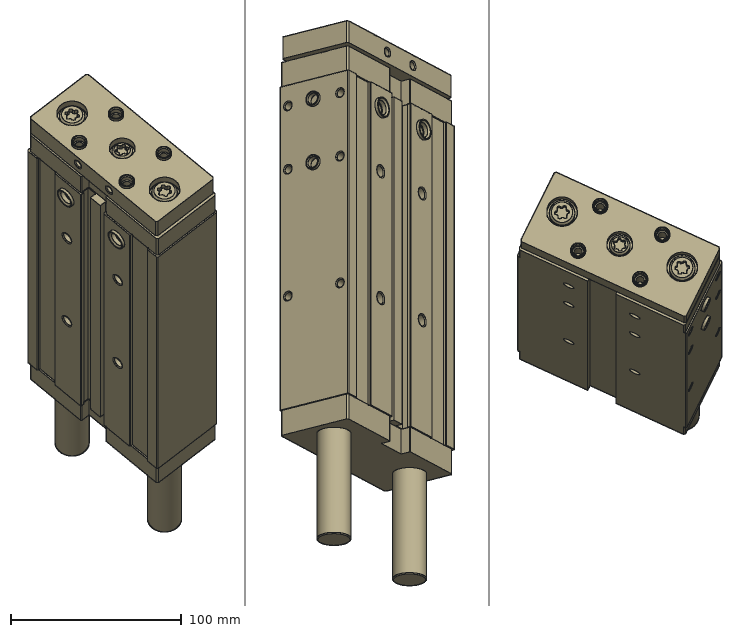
import cadquery as cq
import math


BODY_WIDTH = 110.0
BODY_THICKNESS = 49.0
BODY_BOTTOM = 82.5
BODY_TOP = 286.2
CAP_HEIGHT = 15.7
CAP_INSET = 1.0
BODY_CORNER_CHAMFER = 0.5
CORNER_CHAMFER = 1.0
HOUSING_BOTTOM = BODY_BOTTOM - CAP_HEIGHT
HOUSING_TOP = BODY_TOP + CAP_HEIGHT
LEFT_FACE = -BODY_WIDTH / 2
FRONT_FACE = -BODY_THICKNESS / 2
BACK_FACE = BODY_THICKNESS / 2

FRONT_SLOT_WIDTH = 19.0
CAP_SLOT_WIDTH = 20.5
BACK_SLOT_WIDTH = 18.2
FRONT_SLOT_DEPTH = 6.7
CAP_SLOT_DEPTH = 7.5
GROOVE_MOUTH_CHAMFER = 0.48
BACK_SLOT_DEPTH = 3.2
SLOT_LIP_THICKNESS = 2.2
UNDERCUT_WIDTH = 21.0
RAIL_WIDTH = 8.3
RAIL_HEIGHT = 4.0
SIDE_GROOVE_WIDTH = 14.0
SIDE_GROOVE_X = 39.0
SIDE_GROOVE_DEPTH = 2.0

GUIDE_ROD_DIAMETER = 20.0
GUIDE_ROD_X = 39.0
GUIDE_ROD_Y = -3.2
GUIDE_ROD_CHAMFER = 0.5
PISTON_ROD_DIAMETER = 12.0

SLEEVE_LENGTH = 3.8
SLEEVE_PROTRUSION = 2.0
SMALL_SLEEVE_DIAMETER = 9.0
SMALL_SLEEVE_MOUTH = 8.0
SMALL_SLEEVE_BORE = 6.7
LARGE_SLEEVE_DIAMETER = 12.0
LARGE_SLEEVE_MOUTH = 11.0
LARGE_SLEEVE_BORE = 8.5
PLATE_SLEEVE_X = 20.0
PLATE_SLEEVE_SPACING_Y = 30.0
PLATE_SLEEVE_OFFSET_Y = -0.5

TOTAL_HEIGHT = 319.8
PLATE_TOP = TOTAL_HEIGHT - SLEEVE_PROTRUSION
PLATE_GAP = 2.2
PLATE_BOTTOM = HOUSING_TOP + PLATE_GAP
PLATE_HEIGHT = PLATE_TOP - PLATE_BOTTOM
PLATE_WIDTH = 107.5
PLATE_OFFSET_X = -0.3
PLATE_FACE_INSET = 1.0
PLATE_THICKNESS = BODY_THICKNESS - 2 * PLATE_FACE_INSET
PLATE_FRONT = -PLATE_THICKNESS / 2

HEAD_DROP = 1.3
HEAD_CHAMFER = 1.3
HEAD_POCKET_DEPTH = 4.8
SOCKET_DEPTH = 3.2
SOCKET_LOBES = 6
LOBE_TO_SOCKET = 0.25
CORE_TO_SOCKET = 0.75
GUIDE_POCKET_DIAMETER = 18.0
GUIDE_HEAD_DIAMETER = 15.0
GUIDE_SOCKET_DIAMETER = 8.5
GUIDE_SOCKET_TURN = 30.0
PISTON_POCKET_DIAMETER = 15.0
PISTON_HEAD_DIAMETER = 12.0
PISTON_SOCKET_DIAMETER = 8.0
PISTON_SOCKET_TURN = 0.0

SMALL_HOLE_DIAMETER = 4.8
SMALL_HOLE_MOUTH = 6.0
SMALL_HOLE_DEPTH = 8.0
DRILL_POINT_ANGLE = 118.0
THROUGH_HOLE_DIAMETER = 6.7
THROUGH_HOLE_MOUTH = 8.0
MOUNT_ROW_HEIGHTS = [273.0, 233.0, 153.2]
THROUGH_HOLE_X = 21.5
SIDE_HOLE_Y = 18.5
PLATE_HOLE_X = 13.0
PLATE_HOLE_Z = 311.2

TO_RIGHT = cq.Vector(1, 0, 0)
TO_BACK = cq.Vector(0, 1, 0)
DOWN = cq.Vector(0, 0, -1)


def box(x_size, y_min, y_max, z_min, z_max, x_middle=0.0):
    """Block centred on x_middle between the given Y and Z limits."""
    return (
        cq.Workplane("XY", origin=(x_middle, 0, z_min))
        .moveTo(0, (y_min + y_max) / 2)
        .rect(x_size, y_max - y_min)
        .extrude(z_max - z_min)
    )


def cylinder(diameter, length, start, direction):
    return cq.Workplane(cq.Solid.makeCylinder(diameter / 2, length, start, direction))


def cone(start_diameter, end_diameter, length, start, direction):
    return cq.Workplane(cq.Solid.makeCone(start_diameter / 2, end_diameter / 2, length, start, direction))


def countersink(mouth, diameter, start, direction):
    """45 degree cone that narrows from the mouth to the hole."""
    return cone(mouth, diameter, (mouth - diameter) / 2, start, direction)


def small_hole(start, direction):
    """Blind countersunk hole with a drill point."""
    point_length = SMALL_HOLE_DIAMETER / 2 / math.tan(math.radians(DRILL_POINT_ANGLE / 2))
    hole = cylinder(SMALL_HOLE_DIAMETER, SMALL_HOLE_DEPTH, start, direction)
    point = cone(SMALL_HOLE_DIAMETER, 0, point_length, start + direction * SMALL_HOLE_DEPTH, direction)
    return hole.union(point).union(countersink(SMALL_HOLE_MOUTH, SMALL_HOLE_DIAMETER, start, direction))


def through_hole(x, z):
    """Hole along Y through the housing, countersunk at the front."""
    start = cq.Vector(x, FRONT_FACE, z)
    hole = cylinder(THROUGH_HOLE_DIAMETER, BODY_THICKNESS, start, TO_BACK)
    return hole.union(countersink(THROUGH_HOLE_MOUTH, THROUGH_HOLE_DIAMETER, start, TO_BACK))


FRONT_SLEEVE_PLACES = [
    cq.Vector(x, FRONT_FACE, MOUNT_ROW_HEIGHTS[0])
    for x in (-THROUGH_HOLE_X, THROUGH_HOLE_X)
]
SIDE_SLEEVE_PLACES = [cq.Vector(LEFT_FACE, 0, z) for z in MOUNT_ROW_HEIGHTS[:2]]
PLATE_SLEEVE_PLACES = [
    cq.Vector(x, y, PLATE_TOP)
    for x in (-PLATE_SLEEVE_X, PLATE_SLEEVE_X)
    for y in (
        PLATE_SLEEVE_OFFSET_Y - PLATE_SLEEVE_SPACING_Y / 2,
        PLATE_SLEEVE_OFFSET_Y + PLATE_SLEEVE_SPACING_Y / 2,
    )
]


def sleeve_recess(diameter, place, inward):
    return cylinder(diameter, SLEEVE_LENGTH - SLEEVE_PROTRUSION, place, inward)


def make_sleeve(diameter, mouth, bore, place, inward):
    """Centring sleeve standing proud of a face, with its bore countersunk at the outer end."""
    start = place - inward * SLEEVE_PROTRUSION
    sleeve = cylinder(diameter, SLEEVE_LENGTH, start, inward)
    sleeve = sleeve.cut(cylinder(bore, SLEEVE_LENGTH, start, inward))
    return sleeve.cut(countersink(mouth, bore, start, inward))


def front_groove(width, depth, z_min, z_max, x_middle=0.0, face_inset=0.0):
    """Groove along Z, cut to a depth below the front face, with both edges of its mouth chamfered."""
    mouth = width / 2 + GROOVE_MOUTH_CHAMFER
    face = FRONT_FACE + face_inset
    lip = face + GROOVE_MOUTH_CHAMFER
    outline = [
        (-mouth, face),
        (-width / 2, lip),
        (-width / 2, FRONT_FACE + depth),
        (width / 2, FRONT_FACE + depth),
        (width / 2, lip),
        (mouth, face),
    ]
    groove = cq.Workplane("XY", origin=(x_middle, 0, z_min)).polyline(outline).close()
    return groove.extrude(z_max - z_min)


def make_housing_blank():
    """Middle body with a railed T-slot and two side grooves, and a slightly smaller cap at each end."""
    body = box(BODY_WIDTH, FRONT_FACE, BACK_FACE, BODY_BOTTOM, BODY_TOP)
    body = body.edges("|Z").chamfer(BODY_CORNER_CHAMFER)
    body = body.cut(front_groove(FRONT_SLOT_WIDTH, FRONT_SLOT_DEPTH, BODY_BOTTOM, BODY_TOP))
    slot_floor = FRONT_FACE + FRONT_SLOT_DEPTH
    body = body.cut(box(UNDERCUT_WIDTH, FRONT_FACE + SLOT_LIP_THICKNESS, slot_floor, BODY_BOTTOM, BODY_TOP))
    body = body.union(box(RAIL_WIDTH, slot_floor - RAIL_HEIGHT, slot_floor, BODY_BOTTOM, BODY_TOP))
    for x in (-SIDE_GROOVE_X, SIDE_GROOVE_X):
        body = body.cut(front_groove(SIDE_GROOVE_WIDTH, SIDE_GROOVE_DEPTH, BODY_BOTTOM, BODY_TOP, x))

    housing = body
    for cap_bottom in (HOUSING_BOTTOM, BODY_TOP):
        cap_top = cap_bottom + CAP_HEIGHT
        cap = box(BODY_WIDTH - 2 * CAP_INSET, FRONT_FACE + CAP_INSET, BACK_FACE, cap_bottom, cap_top)
        cap = cap.edges("|Z").chamfer(CORNER_CHAMFER)
        cap = cap.cut(front_groove(CAP_SLOT_WIDTH, CAP_SLOT_DEPTH, cap_bottom, cap_top, 0.0, CAP_INSET))
        housing = housing.union(cap)
    return housing.cut(
        box(BACK_SLOT_WIDTH, BACK_FACE - BACK_SLOT_DEPTH, BACK_FACE, HOUSING_BOTTOM, HOUSING_TOP)
    )


def make_housing():
    """Housing with its rod bores, mounting holes and sleeve recesses."""
    housing = make_housing_blank()
    for x in (-GUIDE_ROD_X, GUIDE_ROD_X):
        start = cq.Vector(x, GUIDE_ROD_Y, HOUSING_TOP)
        housing = housing.cut(cylinder(GUIDE_ROD_DIAMETER, HOUSING_TOP - HOUSING_BOTTOM, start, DOWN))
    piston_start = cq.Vector(0, 0, HOUSING_TOP)
    housing = housing.cut(cylinder(PISTON_ROD_DIAMETER, HOUSING_TOP - BODY_BOTTOM, piston_start, DOWN))

    for z in MOUNT_ROW_HEIGHTS:
        for x in (-THROUGH_HOLE_X, THROUGH_HOLE_X):
            housing = housing.cut(through_hole(x, z))
        for y in (-SIDE_HOLE_Y, SIDE_HOLE_Y):
            housing = housing.cut(small_hole(cq.Vector(LEFT_FACE, y, z), TO_RIGHT))

    for place in FRONT_SLEEVE_PLACES:
        housing = housing.cut(sleeve_recess(LARGE_SLEEVE_DIAMETER, place, TO_BACK))
    for place in SIDE_SLEEVE_PLACES:
        housing = housing.cut(sleeve_recess(SMALL_SLEEVE_DIAMETER, place, TO_RIGHT))
    return housing


def lobed_socket(diameter, turn, top_centre):
    """Six-lobed screw socket: a round core with a ring of smaller round lobes."""
    socket = cylinder(CORE_TO_SOCKET * diameter, SOCKET_DEPTH, top_centre, DOWN)
    lobe_diameter = LOBE_TO_SOCKET * diameter
    lobe_circle_radius = (diameter - lobe_diameter) / 2
    for index in range(SOCKET_LOBES):
        angle = math.radians(turn + index * 360 / SOCKET_LOBES)
        offset = cq.Vector(math.cos(angle), math.sin(angle), 0) * lobe_circle_radius
        socket = socket.union(cylinder(lobe_diameter, SOCKET_DEPTH, top_centre + offset, DOWN))
    return socket


def add_screw_head(plate, x, y, pocket, head, socket, socket_turn):
    """Sinks a round pocket into the plate and leaves a chamfered screw head standing in it."""
    plate = plate.cut(cylinder(pocket, HEAD_POCKET_DEPTH, cq.Vector(x, y, PLATE_TOP), DOWN))
    head_top = cq.Vector(x, y, PLATE_TOP - HEAD_DROP)
    screw_head = cylinder(head, HEAD_POCKET_DEPTH - HEAD_DROP, head_top, DOWN)
    screw_head = screw_head.faces(">Z").chamfer(HEAD_CHAMFER)
    return plate.union(screw_head.cut(lobed_socket(socket, socket_turn, head_top)))


def make_slide():
    """Plate with its two guide rods and its piston rod."""
    slide = box(PLATE_WIDTH, PLATE_FRONT, -PLATE_FRONT, PLATE_BOTTOM, PLATE_TOP, PLATE_OFFSET_X)
    slide = slide.edges("|Z").chamfer(CORNER_CHAMFER)
    for x in (-GUIDE_ROD_X, GUIDE_ROD_X):
        slide = add_screw_head(
            slide,
            x,
            GUIDE_ROD_Y,
            GUIDE_POCKET_DIAMETER,
            GUIDE_HEAD_DIAMETER,
            GUIDE_SOCKET_DIAMETER,
            GUIDE_SOCKET_TURN,
        )
    slide = add_screw_head(
        slide,
        0,
        0,
        PISTON_POCKET_DIAMETER,
        PISTON_HEAD_DIAMETER,
        PISTON_SOCKET_DIAMETER,
        PISTON_SOCKET_TURN,
    )

    for place in PLATE_SLEEVE_PLACES:
        slide = slide.cut(sleeve_recess(SMALL_SLEEVE_DIAMETER, place, DOWN))
        slide = slide.cut(cylinder(SMALL_HOLE_DIAMETER, PLATE_HEIGHT, place, DOWN))
    for x in (-PLATE_HOLE_X, PLATE_HOLE_X):
        slide = slide.cut(small_hole(cq.Vector(x, PLATE_FRONT, PLATE_HOLE_Z), TO_BACK))

    for x in (-GUIDE_ROD_X, GUIDE_ROD_X):
        rod = cylinder(GUIDE_ROD_DIAMETER, PLATE_BOTTOM, cq.Vector(x, GUIDE_ROD_Y, PLATE_BOTTOM), DOWN)
        slide = slide.union(rod.faces("<Z").chamfer(GUIDE_ROD_CHAMFER))
    piston_start = cq.Vector(0, 0, PLATE_BOTTOM)
    return slide.union(cylinder(PISTON_ROD_DIAMETER, PLATE_BOTTOM - BODY_BOTTOM, piston_start, DOWN))


housing = make_housing()
slide = make_slide()
front_sleeves = [
    make_sleeve(LARGE_SLEEVE_DIAMETER, LARGE_SLEEVE_MOUTH, LARGE_SLEEVE_BORE, place, TO_BACK)
    for place in FRONT_SLEEVE_PLACES
]
side_sleeves = [
    make_sleeve(SMALL_SLEEVE_DIAMETER, SMALL_SLEEVE_MOUTH, SMALL_SLEEVE_BORE, place, TO_RIGHT)
    for place in SIDE_SLEEVE_PLACES
]
plate_sleeves = [
    make_sleeve(SMALL_SLEEVE_DIAMETER, SMALL_SLEEVE_MOUTH, SMALL_SLEEVE_BORE, place, DOWN)
    for place in PLATE_SLEEVE_PLACES
]

sleeves = front_sleeves + side_sleeves + plate_sleeves
result = cq.Compound.makeCompound([housing.val(), slide.val(), *[sleeve.val() for sleeve in sleeves]])